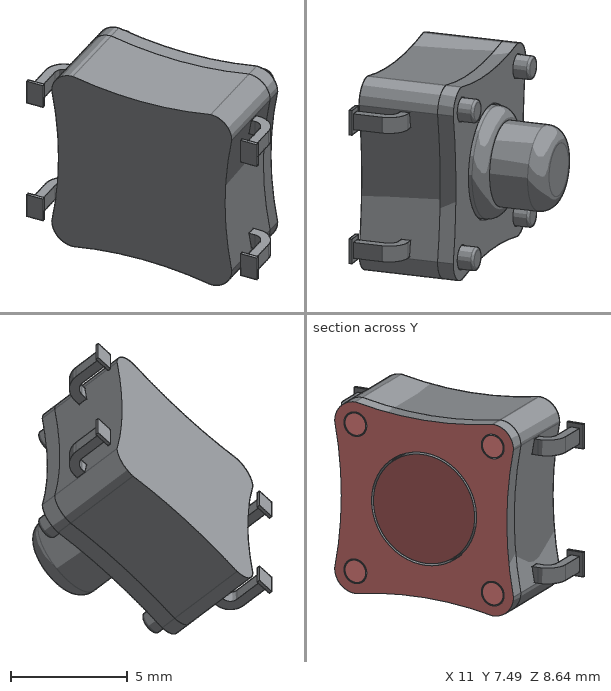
import cadquery as cq
import math


cos45 = math.cos(math.pi / 4)

body_size = 8.64
half_size = body_size / 2
corner_radius = 1.01
corner_center = half_size - corner_radius
side_dip = 0.32
waist = half_size - side_dip

housing_height = 3.6
cover_thickness = 0.72
collar_top = 5.04
button_top = 7.49

post_diameter = 1.02
post_hole_diameter = 1.08
post_offset = corner_center
post_edge_radius = 0.11

button_diameter = 3.74
button_edge_radius = 0.71
collar_diameter = 4.9
collar_hole_diameter = 5.04
collar_edge_radius = (collar_diameter - button_diameter) / 2

overall_length = 11.04
pin_spacing = 5.76
pin_width = 0.71
pin_thickness = 0.43
pin_top = 2.31
pin_outer_x = 5.34
pin_inner_x = waist
bend_outer_radius = 0.86
bend_inner_radius = bend_outer_radius - pin_thickness
foot_outer_x = overall_length / 2
foot_length = 0.78
foot_width = 1.1
foot_thickness = 0.14


def plan_at(level):
    """Sketch plane across the switch at height `level`, with local x along X and normal along +Y."""
    return cq.Workplane(cq.Plane(origin=(0, level, 0), xDir=(1, 0, 0), normal=(0, 1, 0)))


def body_block(level, height):
    """Square block with quarter-round corners and four shallow concave sides."""
    c = corner_center
    h = half_size
    diagonal = corner_center + corner_radius * cos45
    return (
        plan_at(level)
        .moveTo(-c, -h)
        .threePointArc((0, -waist), (c, -h))
        .threePointArc((diagonal, -diagonal), (h, -c))
        .threePointArc((waist, 0), (h, c))
        .threePointArc((diagonal, diagonal), (c, h))
        .threePointArc((0, waist), (-c, h))
        .threePointArc((-diagonal, diagonal), (-h, c))
        .threePointArc((-waist, 0), (-h, -c))
        .threePointArc((-diagonal, -diagonal), (-c, -h))
        .close()
        .extrude(height)
    )


def cylinders(level, height, diameter, centers):
    return plan_at(level).pushPoints(centers).circle(diameter / 2).extrude(height)


post_centers = [(sx * post_offset, sz * post_offset) for sx in (-1, 1) for sz in (-1, 1)]


def make_pin(side, z_center):
    """Bent strip with a flat foot; side is +1 for the +X side and -1 for the -X side."""
    bend_x = pin_outer_x - bend_outer_radius
    bend_y = pin_top - bend_outer_radius
    strip = (
        cq.Workplane("XY", origin=(0, 0, -pin_width / 2))
        .moveTo(pin_inner_x, pin_top)
        .lineTo(bend_x, pin_top)
        .threePointArc(
            (bend_x + bend_outer_radius * cos45, bend_y + bend_outer_radius * cos45),
            (pin_outer_x, bend_y),
        )
        .lineTo(pin_outer_x, foot_thickness)
        .lineTo(pin_outer_x - pin_thickness, foot_thickness)
        .lineTo(pin_outer_x - pin_thickness, bend_y)
        .threePointArc(
            (bend_x + bend_inner_radius * cos45, bend_y + bend_inner_radius * cos45),
            (bend_x, pin_top - pin_thickness),
        )
        .lineTo(pin_inner_x, pin_top - pin_thickness)
        .close()
        .extrude(pin_width)
    )
    foot = cq.Workplane("XY").box(foot_length, foot_thickness, foot_width).translate(
        (foot_outer_x - foot_length / 2, foot_thickness / 2, 0)
    )
    pin = strip.union(foot)
    if side < 0:
        pin = pin.mirror("YZ")
    return pin.translate((0, 0, z_center))


def make_housing(pins):
    """Block with four rivet posts and a matching pocket for the inner end of each pin."""
    posts = cylinders(housing_height, collar_top - housing_height, post_diameter, post_centers)
    posts = posts.faces(">Y").edges().fillet(post_edge_radius)
    housing = body_block(0, housing_height).union(posts)
    for pin in pins:
        housing = housing.cut(pin)
    return housing


def make_cover():
    """Plate with a central hole for the button collar and one hole for each post."""
    collar_hole = cylinders(housing_height, cover_thickness, collar_hole_diameter, [(0, 0)])
    post_holes = cylinders(housing_height, cover_thickness, post_hole_diameter, post_centers)
    return body_block(housing_height, cover_thickness).cut(collar_hole).cut(post_holes)


def make_button():
    """Round button rising from a collar whose rounded edge runs in to the button wall."""
    collar_shoulder = collar_top - collar_edge_radius
    button_shoulder = button_top - button_edge_radius
    collar_radius = collar_diameter / 2
    button_radius = button_diameter / 2
    return (
        cq.Workplane("XY")
        .moveTo(0, housing_height)
        .lineTo(collar_radius, housing_height)
        .lineTo(collar_radius, collar_shoulder)
        .threePointArc(
            (button_radius + collar_edge_radius * cos45, collar_shoulder + collar_edge_radius * cos45),
            (button_radius, collar_top),
        )
        .lineTo(button_radius, button_shoulder)
        .threePointArc(
            (
                button_radius - button_edge_radius * (1 - cos45),
                button_shoulder + button_edge_radius * cos45,
            ),
            (button_radius - button_edge_radius, button_top),
        )
        .lineTo(0, button_top)
        .close()
        .revolve(360, (0, 0, 0), (0, 1, 0))
    )


pins = [make_pin(side, row * pin_spacing / 2) for side in (-1, 1) for row in (-1, 1)]
housing = make_housing(pins)
cover = make_cover()
button = make_button()

result = cq.Compound.makeCompound(
    [housing.val(), cover.val(), button.val(), *[pin.val() for pin in pins]]
)